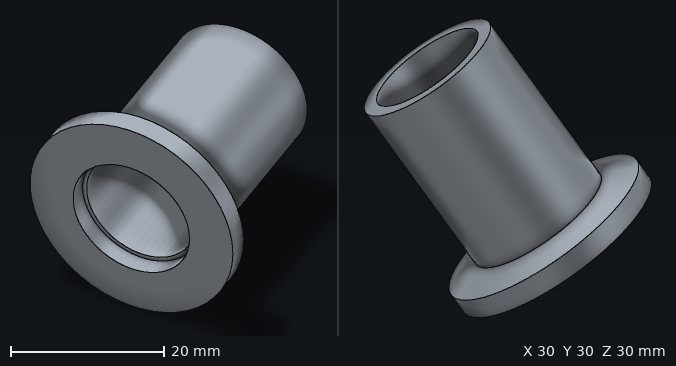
import cadquery as cq
import math

length = 30.0
flange_diameter = 30.0
tube_diameter = 20.0
bore_diameter = 16.0
recess_diameter = 17.2
recess_depth = 2.6
rim_thickness = 3.0
clamp_angle = 15.0

flange_radius = flange_diameter / 2
tube_radius = tube_diameter / 2
bore_radius = bore_diameter / 2
recess_radius = recess_diameter / 2
taper_length = (flange_radius - tube_radius) * math.tan(math.radians(clamp_angle))

half_section = (
    cq.Workplane("XY")
    .moveTo(recess_radius, 0)
    .lineTo(flange_radius, 0)
    .lineTo(flange_radius, rim_thickness)
    .lineTo(tube_radius, rim_thickness + taper_length)
    .lineTo(tube_radius, length)
    .lineTo(bore_radius, length)
    .lineTo(bore_radius, recess_depth)
    .lineTo(recess_radius, recess_depth)
    .close()
)

result = half_section.revolve(360, (0, 0, 0), (0, 1, 0))